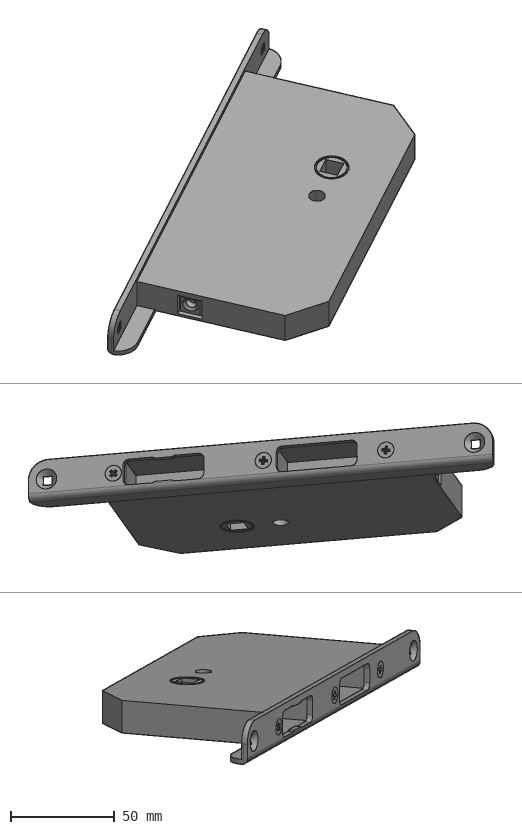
import cadquery as cq

length = 230.0
depth = 95.0
height = 20.0
mid_z = height / 2

plate_thickness = 3.0
flange_thickness = 2.5
flange_reach = 12.0
bend_radius = 3.2
end_radius = height / 2
fixing_y = 106.0
fixing_head_diameter = 10.1
fixing_hole_side = 4.4
fixing_cone_depth = 2.8

opening_length = 40.0
opening_height = 13.0
opening_radius = 3.0
waisted_opening_y = 48.0
plain_opening_y = -27.8
waist_length = 8.3
waist_slope = 1.4
waist_inset = 0.58
waisted_pocket_shift = 0.7
pocket_end_x = 23.0

case_width = 160.0
case_y = -0.5
case_height = 16.0
case_side_y = case_y - case_width / 2
case_bottom_z = mid_z - case_height / 2
case_chamfer = 16.5
spindle_x = 64.9
hub_y = 27.5
hub_diameter = 16.0
hub_collar_diameter = 14.7
hub_step = 0.2
hub_clearance = 0.2
hub_square_side = 9.0
round_hole_y = 6.0
round_hole_diameter = 7.8

insert_x = 30.0
insert_z = 9.2
insert_width = 11.7
insert_height = 11.0
insert_clearance = 0.35
insert_depth = 9.2
insert_recess = 1.0
insert_chamfer = 1.0
insert_face_y = case_side_y + insert_recess
insert_back_y = insert_face_y + insert_depth
insert_hole_diameter = 5.3
insert_hole_depth = 4.5
insert_sink_diameter = 7.8
insert_sink_angle = 90.0

screw_places = [(73.0, 45.0), (-1.4, 10.0), (-62.0, 10.0)]
screw_head_diameter = 8.0
screw_shank_diameter = 4.0
screw_head_height = 2.0
screw_length = 11.5
cross_length = 4.0
cross_width = 1.2
cross_depth = 1.4
cross_taper = 10.0


def box(x_range, y_range, z_range):
    """Box between the given limits."""
    size = [high - low for low, high in (x_range, y_range, z_range)]
    corner = (x_range[0], y_range[0], z_range[0])
    return cq.Workplane("XY").box(*size, centered=False).translate(corner)


def screw_blank(y):
    """Countersunk screw along X without its recess; it also shapes its own seat."""
    head_radius = screw_head_diameter / 2
    shank_radius = screw_shank_diameter / 2
    profile = [
        (0, 0), (0, head_radius), (screw_head_height, shank_radius),
        (screw_length, shank_radius), (screw_length, 0),
    ]
    blank = cq.Workplane("XY").polyline(profile).close().revolve(360, (0, 0), (1, 0))
    return blank.translate((0, y, mid_z))


def make_screw(y, turn):
    """Screw with a cross recess turned by the given angle."""
    arms = cq.Workplane("YZ").rect(cross_length, cross_width).extrude(cross_depth, taper=cross_taper)
    arms = arms.union(arms.rotate((0, 0, 0), (1, 0, 0), 90))
    arms = arms.rotate((0, 0, 0), (1, 0, 0), turn).translate((0, y, mid_z))
    return screw_blank(y).cut(arms)


def fixing_hole(y):
    """Square hole with a conical countersink at the front of the plate."""
    sink = cq.Solid.makeCone(
        fixing_head_diameter / 2, fixing_hole_side / 2, fixing_cone_depth,
        pnt=cq.Vector(0, y, mid_z), dir=cq.Vector(1, 0, 0),
    )
    hole = cq.Workplane("YZ").center(y, mid_z).rect(fixing_hole_side, fixing_hole_side)
    return hole.extrude(plate_thickness).union(cq.Workplane(obj=sink))


def plain_opening(y):
    """Rounded rectangular opening through the plate."""
    opening = cq.Workplane("YZ").center(y, mid_z).rect(opening_length, opening_height)
    return opening.extrude(plate_thickness).edges("|X").fillet(opening_radius)


def waist_lip(side):
    """Tapered lip that narrows the opening; side is +1 at the top and -1 at the bottom."""
    edge = side * opening_height / 2
    inner = edge - side * waist_inset
    half_inner = waist_length / 2
    half_outer = half_inner + waist_slope
    points = [(-half_outer, edge), (-half_inner, inner), (half_inner, inner), (half_outer, edge)]
    lip = cq.Workplane("YZ").center(waisted_opening_y, mid_z).polyline(points).close()
    return lip.extrude(plate_thickness)


def make_faceplate():
    """Angle-shaped plate with rounded ends, bolt openings, fixing holes and screw seats."""
    half = length / 2
    upright = box((0, plate_thickness), (-half, half), (0, height))
    flange = box((0, flange_reach), (-half, half), (0, flange_thickness))
    plate = upright.union(flange)
    blank = box((0, flange_reach), (-half, half), (0, height))
    plate = plate.intersect(blank.edges("|X and >Z").fillet(end_radius))
    plate = plate.intersect(blank.edges("|Z and >X").fillet(end_radius))
    plate = plate.edges("|Y and <X and <Z").fillet(bend_radius)
    waisted = plain_opening(waisted_opening_y).cut(waist_lip(1)).cut(waist_lip(-1))
    plate = plate.cut(waisted).cut(plain_opening(plain_opening_y))
    for y in (-fixing_y, fixing_y):
        plate = plate.cut(fixing_hole(y))
    for y, _ in screw_places:
        plate = plate.cut(screw_blank(y))
    return plate


def bolt_pocket(low_y, high_y):
    """Pocket in the front of the case behind a bolt opening."""
    half_height = opening_height / 2
    return box((0, pocket_end_x), (low_y, high_y), (mid_z - half_height, mid_z + half_height))


def side_block(start_y, end_y, clearance):
    """Block with the outline of the side insert, grown by the clearance all round."""
    half_width = insert_width / 2 + clearance
    half_height = insert_height / 2 + clearance
    return box(
        (insert_x - half_width, insert_x + half_width),
        (start_y, end_y),
        (insert_z - half_height, insert_z + half_height),
    )


def make_case():
    """Flat case with cut back corners, pockets, spindle holes and screw holes."""
    sides = (case_side_y, case_side_y + case_width)
    case = box((plate_thickness, depth), sides, (case_bottom_z, case_bottom_z + case_height))
    case = case.edges("|Z and >X").chamfer(case_chamfer)
    case = case.cut(box((0, flange_reach), sides, (0, flange_thickness)))

    half_opening = opening_length / 2
    waisted_pocket_end = waisted_opening_y + half_opening - waisted_pocket_shift
    case = case.cut(bolt_pocket(waisted_opening_y - half_opening, waisted_pocket_end))
    case = case.cut(bolt_pocket(plain_opening_y - half_opening, plain_opening_y + half_opening))

    hub_hole_radius = hub_diameter / 2 + hub_clearance
    case = case.cut(cq.Workplane("XY").center(spindle_x, hub_y).circle(hub_hole_radius).extrude(height))
    round_hole = cq.Workplane("XY").center(spindle_x, round_hole_y).circle(round_hole_diameter / 2)
    case = case.cut(round_hole.extrude(height))

    case = case.cut(side_block(case_side_y, insert_back_y, insert_clearance))
    for y, _ in screw_places:
        case = case.cut(screw_blank(y))
    return case


def make_hub():
    """Round spindle hub with stepped ends and a square hole, as high as the case."""
    body_height = case_height - 2 * hub_step
    axis = cq.Workplane("XY", origin=(spindle_x, hub_y, mid_z))
    hub = axis.circle(hub_diameter / 2).extrude(body_height / 2, both=True)
    hub = hub.union(axis.circle(hub_collar_diameter / 2).extrude(case_height / 2, both=True))
    square = axis.rect(hub_square_side, hub_square_side).extrude(case_height / 2, both=True)
    return hub.cut(square)


def make_insert():
    """Square block with a chamfered face and a countersunk blind hole."""
    block = side_block(insert_face_y, insert_back_y, 0)
    block = block.faces("<Y").chamfer(insert_chamfer)
    face = block.faces("<Y").workplane(origin=(insert_x, insert_face_y, mid_z))
    return face.cskHole(
        insert_hole_diameter, insert_sink_diameter, insert_sink_angle, insert_hole_depth
    )


faceplate = make_faceplate()
case = make_case()
hub = make_hub()
insert = make_insert()
screws = [make_screw(y, turn).val() for y, turn in screw_places]

result = cq.Compound.makeCompound([faceplate.val(), case.val(), hub.val(), insert.val(), *screws])